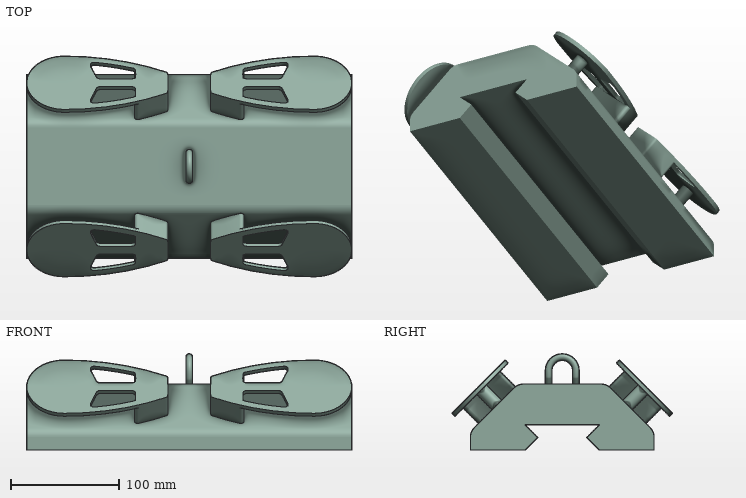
import cadquery as cq
import math

body_length = 300.5
body_width = 170.0
body_height = 61.3
top_corner_y = 41.0
slope_angle = 45
edge_radius = 12.5
slot_mouth_width = 68.5
slot_neck_width = 45.0
slot_neck_z = 11.7

overall_height = 89.3
wire_diameter = 6.3
eye_bend_radius = 12.5
wire_embed = 3.0

overall_length = body_length
standoff_height = 20.0
plate_thickness = 4.0
paddle_axis_y = 60.5
disc_radius = 35.0
side_radius = 222.5
tip_x = -19.8
corner_radius = 3.0
pin_diameter = 12.5
block_recess_radius = 68.0

window_rib_x = -85.0
window_outer_x = -93.2
window_end_x = -49.5
window_rim = 6.3
window_rib_width = 10.2
window_corner_radius = 3.5

embed = 1.5

disc_x = disc_radius - overall_length / 2
slope_sum = body_height + top_corner_y
side_centre_v = disc_radius - side_radius


def side_v(x, radius):
    """Value of v at x on an arc concentric with the paddle's upper side."""
    return side_centre_v + math.sqrt(radius**2 - (x - disc_x) ** 2)


def make_body():
    half_width = body_width / 2
    neck = slot_neck_width / 2
    mouth = slot_mouth_width / 2
    slot_top_z = 2 * slot_neck_z

    bar = (
        cq.Workplane("YZ")
        .moveTo(-half_width, 0)
        .lineTo(-half_width, slope_sum - half_width)
        .lineTo(-top_corner_y, body_height)
        .lineTo(top_corner_y, body_height)
        .lineTo(half_width, slope_sum - half_width)
        .lineTo(half_width, 0)
        .close()
        .extrude(body_length / 2, both=True)
    )
    bar = bar.edges("|X").edges("not <Z").fillet(edge_radius)

    slot = (
        cq.Workplane("YZ")
        .moveTo(-mouth, 0)
        .lineTo(-neck, slot_neck_z)
        .lineTo(-mouth, slot_top_z)
        .lineTo(mouth, slot_top_z)
        .lineTo(neck, slot_neck_z)
        .lineTo(mouth, 0)
        .close()
        .extrude(body_length / 2, both=True)
    )
    return bar.cut(slot)


def make_eye():
    bend_z = overall_height - wire_diameter / 2 - eye_bend_radius
    foot_z = body_height - wire_embed
    path = (
        cq.Workplane("YZ")
        .moveTo(-eye_bend_radius, foot_z)
        .lineTo(-eye_bend_radius, bend_z)
        .threePointArc((0, bend_z + eye_bend_radius), (eye_bend_radius, bend_z))
        .lineTo(eye_bend_radius, foot_z)
    )
    return (
        cq.Workplane("XY", origin=(0, -eye_bend_radius, foot_z))
        .circle(wire_diameter / 2)
        .sweep(path)
    )


def teardrop(bottom_z, height):
    """Teardrop prism: round at the outer end, blunt at the tip."""
    tip_v = side_v(tip_x, side_radius)
    mid_x = (disc_x + tip_x) / 2
    mid_v = side_v(mid_x, side_radius)
    return (
        cq.Workplane("XY", origin=(0, 0, bottom_z))
        .moveTo(tip_x, -tip_v)
        .lineTo(tip_x, tip_v)
        .threePointArc((mid_x, mid_v), (disc_x, disc_radius))
        .threePointArc((disc_x - disc_radius, 0), (disc_x, -disc_radius))
        .threePointArc((mid_x, -mid_v), (tip_x, -tip_v))
        .close()
        .extrude(height)
    )


def make_window():
    """Cutter for the window on the +v side of the plate."""
    outer_radius = side_radius - window_rim
    rib_v = window_rib_width / 2
    mid_x = (window_outer_x + window_end_x) / 2

    return (
        cq.Workplane("XY", origin=(0, 0, standoff_height))
        .moveTo(window_rib_x, rib_v)
        .lineTo(window_outer_x, side_v(window_outer_x, outer_radius))
        .threePointArc(
            (mid_x, side_v(mid_x, outer_radius)),
            (window_end_x, side_v(window_end_x, outer_radius)),
        )
        .lineTo(window_end_x, rib_v)
        .close()
        .extrude(plate_thickness)
        .edges("|Z")
        .fillet(window_corner_radius)
    )


def make_paddle():
    """Paddle for the -X, -Y corner, moved from flat onto its slope."""
    plate = teardrop(standoff_height, plate_thickness)
    plate = plate.edges("|Z and >X").fillet(corner_radius)
    window = make_window()
    plate = plate.cut(window).cut(window.mirror("XZ"))

    standoff = standoff_height + embed
    recess = (
        cq.Workplane("XY", origin=(disc_x, 0, -embed))
        .circle(block_recess_radius)
        .extrude(standoff)
    )
    block = teardrop(-embed, standoff).cut(recess).edges("|Z").fillet(corner_radius)
    pin = (
        cq.Workplane("XY", origin=(disc_x, 0, -embed))
        .circle(pin_diameter / 2)
        .extrude(standoff)
    )

    paddle = plate.union(block).union(pin)
    paddle = paddle.rotate((0, 0, 0), (1, 0, 0), slope_angle)
    return paddle.translate((0, -paddle_axis_y, slope_sum - paddle_axis_y))


front_left = make_paddle()
front_right = front_left.mirror("YZ")

result = make_body().union(make_eye())
for paddle in (front_left, front_right):
    result = result.union(paddle).union(paddle.mirror("XZ"))